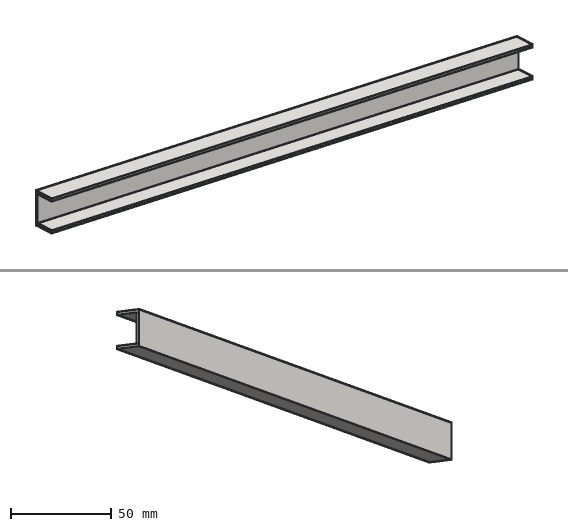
import cadquery as cq

length = 304.8
flange_width = 12.8
height = 19.0
wall = 1.5

outer = cq.Workplane("XY").box(flange_width, length, height)
channel = (
    cq.Workplane("XY")
    .box(flange_width, length, height - 2 * wall)
    .translate((wall, 0, 0))
)

result = outer.cut(channel)